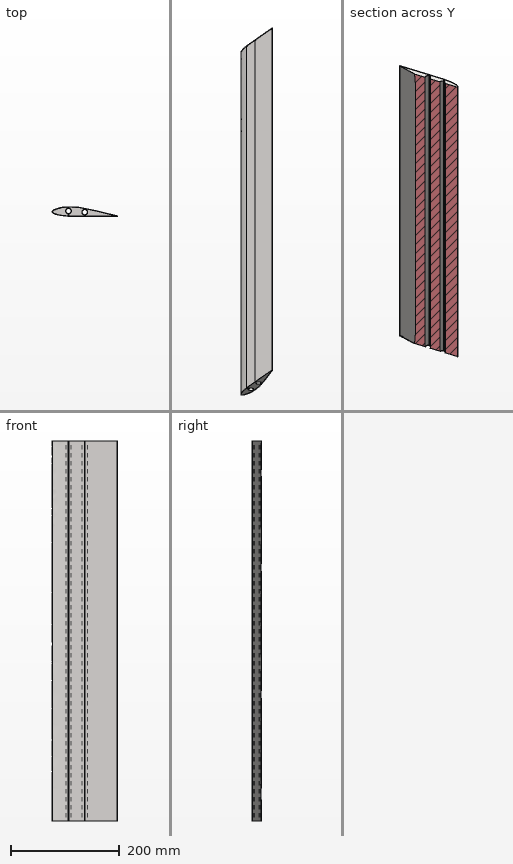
import cadquery as cq

span = 700.0
chord = 120.0
thickness = 17.5
nose_height = 8.5
tail_thickness = 1.0

spar_diameter = 10.0
front_spar = (chord / 4, 10.0)
rear_spar = (chord / 2, 8.0)
slit_width = 1.0

upper_rear = [(83.0, 10.0), (62.0, 14.0), (47.5, 17.0)]
crest = (32.0, thickness)
upper_front = [(15.5, 16.0), (7.0, 13.0), (2.0, 11.0)]
lower_front = [(2.0, 5.5), (7.0, 3.5), (17.0, 1.5)]
flat_start = (front_spar[0], 0)


def wing_blank():
    """Airfoil with a rounded nose, a cambered top and a flat rear underside."""
    nose = (0, nose_height)
    tail = (chord, tail_thickness)
    skin = upper_rear + [crest] + upper_front + [nose] + lower_front + [flat_start]
    return (
        cq.Workplane("XY")
        .moveTo(*tail)
        .spline(skin, includeCurrent=True)
        .lineTo(chord, 0)
        .close()
        .extrude(span)
    )


def spar_channel(center):
    """Full-span round bore with a narrow slit opening through the underside."""
    x, y = center
    bore = cq.Workplane("XY").center(x, y).circle(spar_diameter / 2).extrude(span)
    slit_depth = 2 * y
    slit = cq.Workplane("XY").center(x, 0).rect(slit_width, slit_depth).extrude(span)
    return bore.union(slit)


result = wing_blank()
for spar in (front_spar, rear_spar):
    result = result.cut(spar_channel(spar))